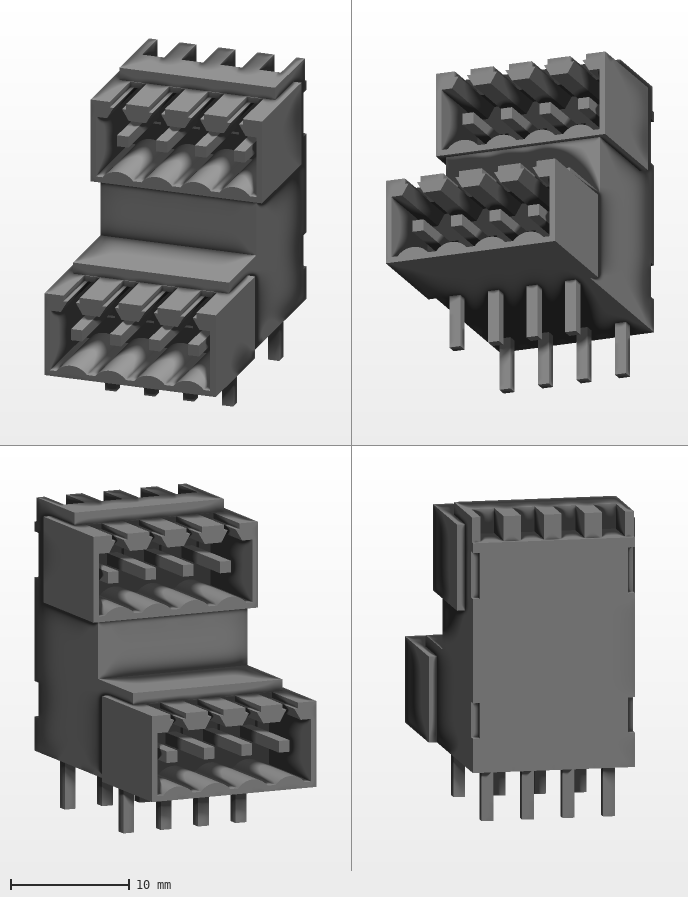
import cadquery as cq


poles = 4
pitch = 3.5
tier_offset_y = 11.5
tier_offset_z = 13.4
overall_depth = 24.55
pole_x = [(i - (poles - 1) / 2) * pitch for i in range(poles)]

shroud_width = 15.4
shroud_height = 7.4
shroud_depth = 9.8
side_wall = 0.5
floor_wall = 0.5
roof_wall = 1.5
rear_wall = 1.5
cavity_depth = shroud_depth - rear_wall
cavity_width = shroud_width - 2 * side_wall
cavity_top = shroud_height - roof_wall

rib_chord = 2.75
rib_height = 0.65

slot_width = 1.45
slot_depth = 0.5
slot_length = 5.1
throat_width = 0.75
flare_width = 1.95

body_width = poles * pitch
body_height = 21.9
body_middle_depth = 12.5
lower_roof_height = 8.4
lip_overlap = 5.2
lower_lip_depth = overall_depth - lip_overlap
upper_lip_depth = lower_lip_depth - tier_offset_y

ledge_depth = 0.45
ledge_drop = 2.15
rear_slot_width = 1.98
rear_slot_end = 4.28
notch_width = 0.6
notch_depth = 0.75
lower_notch_z = (2.95, 6.0)
upper_notch_z = (14.95, 18.9)

pin_size = 1.0
pin_height = 3.48
pin_recess = 1.23
tail_length = 4.6
tail_y = -2.85
pocket_size = 1.78
pocket_depth = 0.5


def block(x_range, y_range, z_range):
    """Axis-aligned box between the given limits."""
    (x0, x1), (y0, y1), (z0, z1) = x_range, y_range, z_range
    return cq.Workplane("XY").box(x1 - x0, y1 - y0, z1 - z0, centered=False).translate((x0, y0, z0))


def centred(middle, size):
    """Limits of a span of the given size about its middle."""
    return (middle - size / 2, middle + size / 2)


def front_profile(mouth_y):
    """Sketch plane on a shroud mouth; extruding by a negative length goes rearward."""
    return cq.Workplane("XZ", origin=(0, mouth_y, 0))


def shroud_block(mouth_y, base_z):
    return block(centred(0, shroud_width), (mouth_y, mouth_y + shroud_depth), (base_z, base_z + shroud_height))


def shroud_cavity(mouth_y, base_z):
    """Everything removed from one shroud: plug space, roof slots and pin pockets."""
    floor_z = base_z + floor_wall
    roof_z = base_z + cavity_top
    top_z = base_z + shroud_height
    throat_z = top_z - slot_depth
    rear_y = mouth_y + cavity_depth

    cavity = block(centred(0, cavity_width), (mouth_y, rear_y), (floor_z, roof_z))
    for x in pole_x:
        rib = (
            front_profile(mouth_y)
            .moveTo(x - rib_chord / 2, floor_z)
            .threePointArc((x, floor_z + rib_height), (x + rib_chord / 2, floor_z))
            .close()
            .extrude(-cavity_depth)
        )
        cavity = cavity.cut(rib)

    for x in pole_x:
        flare = (
            front_profile(mouth_y)
            .moveTo(x - flare_width / 2, roof_z)
            .lineTo(x + flare_width / 2, roof_z)
            .lineTo(x + throat_width / 2, throat_z)
            .lineTo(x - throat_width / 2, throat_z)
            .close()
            .extrude(-cavity_depth)
        )
        slot = block(centred(x, slot_width), (mouth_y, mouth_y + slot_length), (throat_z, top_z))
        pocket = block(
            centred(x, pocket_size),
            (rear_y, rear_y + pocket_depth),
            centred(base_z + pin_height, pocket_size),
        )
        cavity = cavity.union(flare).union(slot).union(pocket)
    return cavity


def stepped_body():
    """Side outline of the central body: rear ledge at the top, one roof lip per tier."""
    return (
        cq.Workplane("YZ", origin=(-body_width / 2, 0, 0))
        .polyline([
            (0, 0),
            (0, body_height - ledge_drop),
            (-ledge_depth, body_height - ledge_drop),
            (-ledge_depth, body_height),
            (-upper_lip_depth, body_height),
            (-upper_lip_depth, tier_offset_z),
            (-body_middle_depth, tier_offset_z),
            (-body_middle_depth, lower_roof_height),
            (-lower_lip_depth, lower_roof_height),
            (-lower_lip_depth, 0),
        ])
        .close()
        .extrude(body_width)
    )


def pin(x, mouth_y, base_z, tail_centre_y):
    """L-shaped square pin: contact along Y, solder tail down along Z."""
    axis_z = base_z + pin_height
    tail_rear_y = tail_centre_y + pin_size / 2
    contact = block(centred(x, pin_size), (mouth_y + pin_recess, tail_rear_y), centred(axis_z, pin_size))
    tail = block(centred(x, pin_size), centred(tail_centre_y, pin_size), (-tail_length, axis_z))
    return contact.union(tail)


lower_tier = (-overall_depth, 0, tail_y - tier_offset_y)
upper_tier = (-overall_depth + tier_offset_y, tier_offset_z, tail_y)
tiers = [lower_tier, upper_tier]

pins = [pin(x, *tier) for tier in tiers for x in pole_x]

housing = stepped_body()
for mouth_y, base_z, _ in tiers:
    housing = housing.union(shroud_block(mouth_y, base_z))
for mouth_y, base_z, _ in tiers:
    housing = housing.cut(shroud_cavity(mouth_y, base_z))

for x in pole_x:
    rear_slot = block(
        centred(x, rear_slot_width), (-rear_slot_end, 0), (body_height - ledge_drop, body_height)
    )
    housing = housing.cut(rear_slot)

for side in (-1, 1):
    notch_x = centred(side * (body_width - notch_width) / 2, notch_width)
    for notch_z in (lower_notch_z, upper_notch_z):
        housing = housing.cut(block(notch_x, (-notch_depth, 0), notch_z))

for one_pin in pins:
    housing = housing.cut(one_pin)

result = cq.Compound.makeCompound([housing.val(), *[one_pin.val() for one_pin in pins]])